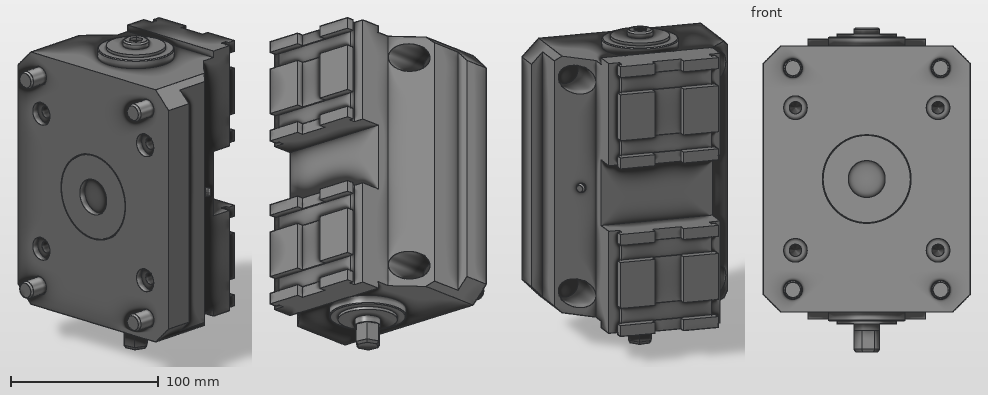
import cadquery as cq
import math


base_width = 140.0
base_thickness = 20.0
flank_width = 124.0
flank_height = 44.0
rail_width = 79.7
body_height = 76.2
body_length = 180.0
corner_chamfer = 12.0
slope_top = flank_height + (flank_width - rail_width) / 2

jaw_shoulder_height = 92.0
jaw_neck_width = 64.4
jaw_neck_top = 96.4
jaw_head_width = 70.0
top_height = 102.0
keyway_width = 20.1
keyway_depth = 5.0
jaw_gap = 46.0
jaw_length = 71.6
cross_slot_width = 12.0
cross_slot_depth = 6.1
cross_slot_offset = 22.1

spindle_height = 42.0
cap_diameter = 52.0
cap_thickness = 6.0
cap_chamfer = 0.7
cap_step_diameter = 40.0
cap_step_thickness = 2.0
spindle_diameter = 17.5
spindle_end_chamfer = 1.0
hub_length = 4.2
neck_length = 4.5
hex_length = 14.5
hex_turn = 8.0
hex_chamfer_length = 2.0
socket_diameter = 9.5
socket_depth = 8.8

screw_x = 50.0
screw_z = 75.0
screw_diameter = 12.0
screw_hole_diameter = 13.0
screw_projection = 14.0
screw_tip_radius_cut = 0.9
screw_tip_length = 1.8
screw_head_diameter = 18.0
screw_head_height = 12.0
screw_recess_diameter = 20.0

dowel_hole_spacing = 96.4
dowel_hole_diameter = 8.3
dowel_recess_diameter = 16.0
dowel_recess_depth = 5.0
dowel_hole_depth = 13.1
drill_point_angle = 118.0

disc_groove_diameter = 60.0
disc_diameter = 59.0
disc_groove_depth = 2.2
disc_bore_diameter = 25.0
disc_bore_depth = 5.0

nipple_x = 47.0
nipple_neck_diameter = 5.5
nipple_neck_length = 1.0
nipple_head_diameter = 6.4
nipple_head_length = 3.5
nipple_chamfer_length = 1.8
nipple_chamfer_width = 0.9
nipple_root = 2.2


def extrude_along_z(points, z_start, length):
    return cq.Workplane("XY").workplane(offset=z_start).polyline(points).close().extrude(length)


def mirrored_outline(right_side):
    return right_side + [(-x, y) for x, y in reversed(right_side)]


def cylinder_y(diameter, y_start, y_end, x=0.0, z=0.0):
    start = cq.Vector(x, y_start, z)
    return cq.Workplane(cq.Solid.makeCylinder(diameter / 2, y_end - y_start, start, cq.Vector(0, 1, 0)))


def make_body():
    outline = mirrored_outline([
        (base_width / 2, 0),
        (base_width / 2, base_thickness),
        (flank_width / 2, base_thickness),
        (flank_width / 2, flank_height),
        (rail_width / 2, slope_top),
        (rail_width / 2, body_height),
    ])
    blank = extrude_along_z(outline, -body_length / 2, body_length)
    corners = (
        cq.Workplane("XZ")
        .rect(base_width, body_length)
        .extrude(-body_height)
        .edges("|Y")
        .chamfer(corner_chamfer)
    )
    return blank.intersect(corners)


def make_jaw(z_middle):
    keyway_floor = top_height - keyway_depth
    outline = mirrored_outline([
        (rail_width / 2, body_height),
        (rail_width / 2, jaw_shoulder_height),
        (jaw_neck_width / 2, jaw_shoulder_height),
        (jaw_neck_width / 2, jaw_neck_top),
        (jaw_head_width / 2, jaw_neck_top),
        (jaw_head_width / 2, top_height),
        (keyway_width / 2, top_height),
        (keyway_width / 2, keyway_floor),
    ])
    jaw = extrude_along_z(outline, z_middle - jaw_length / 2, jaw_length)
    for side in (-1, 1):
        slot = cq.Workplane("XY").box(rail_width, 2 * cross_slot_depth, cross_slot_width)
        jaw = jaw.cut(slot.translate((0, top_height, z_middle + side * cross_slot_offset)))
    return jaw


def make_cap_and_spindle(end_shaft):
    """Bearing cap on the +Z end of the body, with end_shaft standing on top of it."""
    plane = cq.Workplane("XY", origin=(0, spindle_height, body_length / 2))
    cap = plane.circle(cap_diameter / 2).extrude(cap_thickness).faces(">Z").chamfer(cap_chamfer)
    step = plane.workplane(offset=cap_thickness).circle(cap_step_diameter / 2).extrude(cap_step_thickness)
    shaft_start = (0, spindle_height, body_length / 2 + cap_thickness + cap_step_thickness)
    return cap.union(step).union(end_shaft.translate(shaft_start))


def make_hub():
    hub = cq.Workplane("XY").circle(spindle_diameter / 2).extrude(hub_length)
    return hub.faces(">Z").chamfer(spindle_end_chamfer)


def make_socket():
    hub_top = body_length / 2 + cap_thickness + cap_step_thickness + hub_length
    socket = cq.Workplane("XY").polygon(6, socket_diameter).extrude(-socket_depth)
    socket = socket.rotate((0, 0, 0), (0, 0, 1), hex_turn)
    return socket.translate((0, spindle_height, hub_top))


def make_hex_drive():
    neck = cq.Workplane("XY").circle(spindle_diameter / 2).extrude(neck_length)
    drive = cq.Workplane("XY").workplane(offset=neck_length).polygon(6, spindle_diameter).extrude(hex_length)
    drive = drive.faces(">Z").chamfer(hex_chamfer_length, spindle_end_chamfer)
    return neck.union(drive.rotate((0, 0, 0), (0, 0, 1), hex_turn))


def make_screw(x, z):
    shank = cylinder_y(screw_diameter, -screw_projection, base_thickness, x, z)
    shank = shank.faces("<Y").chamfer(screw_tip_length, screw_tip_radius_cut)
    head = cylinder_y(screw_head_diameter, base_thickness, base_thickness + screw_head_height, x, z)
    return shank.union(head)


def cut_dowel_hole(body, x, z):
    radius = dowel_hole_diameter / 2
    tip_length = radius / math.tan(math.radians(drill_point_angle / 2))
    recess = cylinder_y(dowel_recess_diameter, 0, dowel_recess_depth, x, z)
    bore = cylinder_y(dowel_hole_diameter, 0, dowel_hole_depth, x, z)
    tip_start = cq.Vector(x, dowel_hole_depth, z)
    tip = cq.Solid.makeCone(radius, 0, tip_length, tip_start, cq.Vector(0, 1, 0))
    return body.cut(recess).cut(bore).cut(cq.Workplane(tip))


def make_nipple():
    nipple_y = slope_top - (nipple_x - rail_width / 2)
    plane = cq.Plane(origin=(nipple_x, nipple_y, 0), xDir=(0, 0, 1), normal=(1, 1, 0))
    neck = (
        cq.Workplane(plane)
        .workplane(offset=-nipple_root)
        .circle(nipple_neck_diameter / 2)
        .extrude(nipple_root + nipple_neck_length)
    )
    head = (
        cq.Workplane(plane)
        .workplane(offset=nipple_neck_length)
        .circle(nipple_head_diameter / 2)
        .extrude(nipple_head_length)
        .faces(cq.selectors.DirectionMinMaxSelector(plane.zDir))
        .chamfer(nipple_chamfer_length, nipple_chamfer_width)
    )
    return neck.union(head)


result = make_body()

for side in (-1, 1):
    result = result.union(make_jaw(side * (jaw_gap + jaw_length) / 2))

result = result.union(make_cap_and_spindle(make_hub())).cut(make_socket())
result = result.union(make_cap_and_spindle(make_hex_drive()).mirror("XY"))

for x_side in (-1, 1):
    for z_side in (-1, 1):
        x = x_side * screw_x
        z = z_side * screw_z
        result = result.cut(cylinder_y(screw_recess_diameter, base_thickness, body_height, x, z))
        result = result.cut(cylinder_y(screw_hole_diameter, 0, base_thickness, x, z))
        result = result.union(make_screw(x, z))
        result = cut_dowel_hole(result, x_side * dowel_hole_spacing / 2, z_side * dowel_hole_spacing / 2)

groove = cylinder_y(disc_groove_diameter, 0, disc_groove_depth)
groove = groove.cut(cylinder_y(disc_diameter, 0, disc_groove_depth))
result = result.cut(groove)
result = result.cut(cylinder_y(disc_bore_diameter, 0, disc_bore_depth))

result = result.union(make_nipple())